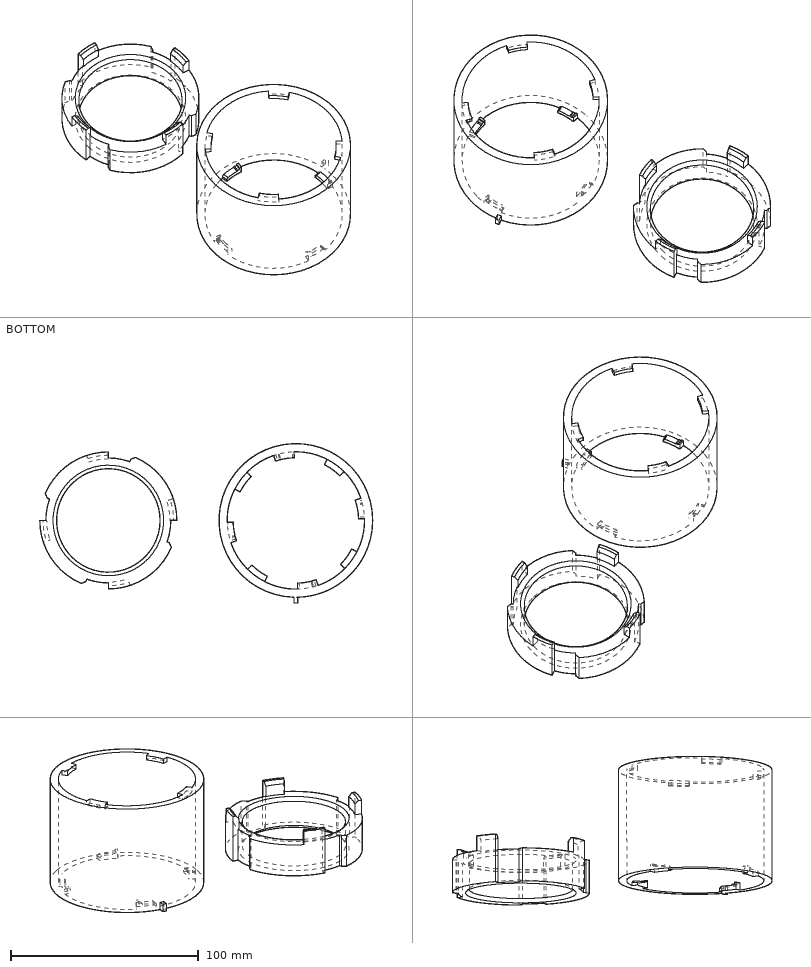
import cadquery as cq
import math

SLEEVE_CENTRE_X = 100.0
FEATURE_COUNT = 4
FEATURE_PITCH = 360 / FEATURE_COUNT
CUT_MARGIN = 1.8

RING_RADIUS = 73.1 / 2
RING_HEIGHT = 18.0
BORE_RADIUS = 55 / 2
BORE_CHAMFER = 2.0
NOTCH_RADIUS = 33.4
NOTCH_ANGLE = 20
NOTCH_CHAMFER = 2.0

TAB_HEIGHT = 8.0
TAB_TOP = RING_HEIGHT + TAB_HEIGHT
TAB_INNER_RADIUS = 32.8
TAB_CHAMFER = 2.0
TAB_ANGLE = 18.5

SLEEVE_RADIUS = 82.0 / 2
SLEEVE_BORE_RADIUS = RING_RADIUS
SLEEVE_HEIGHT = 60.0
MID_WALL_RADIUS = (SLEEVE_RADIUS + SLEEVE_BORE_RADIUS) / 2

PAD_INNER_RADIUS = 33.4
PAD_ANGLE = 17.6
PAD_THICKNESS = 2.5
RIB_START_ANGLE = 27
LUG_START_ANGLE = -1.4
LUG_LEAD_IN = 0.98
BUMP_ANGLE = 5
BUMP_HEIGHT = 0.5
STOP_ANGLE = 2
STOP_HEIGHT = 0.9

KEY_WIDTH = 2.1
KEY_HEIGHT = 4.3
KEY_PROTRUSION = 3.0
KEY_REACH = SLEEVE_RADIUS + KEY_PROTRUSION


def polar(radius, angle):
    """The XY point at a radius and an angle in degrees."""
    return radius * math.cos(math.radians(angle)), radius * math.sin(math.radians(angle))


def tube(inner_radius, outer_radius, height):
    return cq.Workplane("XY").circle(outer_radius).circle(inner_radius).extrude(height)


def sector(inner_radius, outer_radius, start, end, bottom, height):
    """Arc-shaped block between two radii and two angles."""
    middle = (start + end) / 2
    return (
        cq.Workplane("XY", origin=(0, 0, bottom))
        .moveTo(*polar(inner_radius, start))
        .lineTo(*polar(outer_radius, start))
        .threePointArc(polar(outer_radius, middle), polar(outer_radius, end))
        .lineTo(*polar(inner_radius, end))
        .threePointArc(polar(inner_radius, middle), polar(inner_radius, start))
        .close()
        .extrude(height)
    )


def around_axis(feature, start_angle=0):
    """Evenly spaced copies of a feature about the Z axis."""
    copies = []
    for index in range(FEATURE_COUNT):
        angle = start_angle + index * FEATURE_PITCH
        copies.append(feature.rotate((0, 0, 0), (0, 0, 1), angle))
    return copies


def ring_blank():
    """Turned ring whose outer wall stands up all round at the height of the tabs."""
    profile = [
        (BORE_RADIUS, BORE_CHAMFER),
        (BORE_RADIUS + BORE_CHAMFER, 0),
        (RING_RADIUS, 0),
        (RING_RADIUS, TAB_TOP),
        (TAB_INNER_RADIUS + TAB_CHAMFER, TAB_TOP),
        (TAB_INNER_RADIUS, TAB_TOP - TAB_CHAMFER),
        (TAB_INNER_RADIUS, RING_HEIGHT),
        (BORE_RADIUS + BORE_CHAMFER, RING_HEIGHT),
        (BORE_RADIUS, RING_HEIGHT - BORE_CHAMFER),
    ]
    return cq.Workplane("XZ").polyline(profile).close().revolve(360, (0, 0, 0), (0, 1, 0))


def notch_corner():
    """Wedge that bevels the outer corner of the notch wall far from the tab."""
    edge_of_bevel = RING_RADIUS - NOTCH_CHAMFER
    bevel_reach = NOTCH_CHAMFER + CUT_MARGIN
    return (
        cq.Workplane("XY")
        .moveTo(edge_of_bevel, 0)
        .lineTo(edge_of_bevel + bevel_reach, bevel_reach)
        .lineTo(edge_of_bevel + bevel_reach, 0)
        .close()
        .extrude(TAB_TOP)
        .rotate((0, 0, 0), (0, 0, 1), NOTCH_ANGLE)
    )


def make_ring():
    gap = sector(
        BORE_RADIUS, RING_RADIUS + CUT_MARGIN, 0, FEATURE_PITCH - TAB_ANGLE, RING_HEIGHT, TAB_HEIGHT
    )
    notch = sector(NOTCH_RADIUS, RING_RADIUS + CUT_MARGIN, 0, NOTCH_ANGLE, 0, TAB_TOP)
    ring = ring_blank()
    for cutter in around_axis(gap) + around_axis(notch) + around_axis(notch_corner()):
        ring = ring.cut(cutter)
    return ring


def make_lug():
    """Pad with a sloped lead-in, then a sloped bump and a square stop at its far end."""
    pad = sector(PAD_INNER_RADIUS, MID_WALL_RADIUS, 0, -PAD_ANGLE, 0, PAD_THICKNESS)
    pad = pad.edges("|X and >Z").chamfer(LUG_LEAD_IN)

    bump_total = PAD_THICKNESS + BUMP_HEIGHT
    bump = sector(PAD_INNER_RADIUS, MID_WALL_RADIUS, 0, -BUMP_ANGLE, 0, bump_total)
    bump = bump.edges("|X and >Z").chamfer(BUMP_HEIGHT)
    bump = bump.rotate((0, 0, 0), (0, 0, 1), BUMP_ANGLE - PAD_ANGLE)

    stop_start = STOP_ANGLE - PAD_ANGLE
    stop_total = bump_total + STOP_HEIGHT
    stop = sector(PAD_INNER_RADIUS, MID_WALL_RADIUS, stop_start, -PAD_ANGLE, 0, stop_total)
    return pad.union(bump).union(stop)


def make_key():
    """Small block on the +Y side of the sleeve, flush with its bottom."""
    key_length = KEY_REACH - MID_WALL_RADIUS
    key_centre_y = MID_WALL_RADIUS + key_length / 2
    return (
        cq.Workplane("XY")
        .center(0, key_centre_y)
        .rect(KEY_WIDTH, key_length)
        .extrude(KEY_HEIGHT)
    )


def make_sleeve():
    sleeve = tube(SLEEVE_BORE_RADIUS, SLEEVE_RADIUS, SLEEVE_HEIGHT)

    rib_bottom = SLEEVE_HEIGHT - PAD_THICKNESS
    rib = sector(PAD_INNER_RADIUS, MID_WALL_RADIUS, 0, PAD_ANGLE, rib_bottom, PAD_THICKNESS)
    for copy in around_axis(rib, RIB_START_ANGLE):
        sleeve = sleeve.union(copy)
    for copy in around_axis(make_lug(), LUG_START_ANGLE):
        sleeve = sleeve.union(copy)

    sleeve = sleeve.union(make_key())
    return sleeve.translate((SLEEVE_CENTRE_X, 0, 0))


ring = make_ring()
sleeve = make_sleeve()

result = cq.Compound.makeCompound([ring.val(), sleeve.val()])